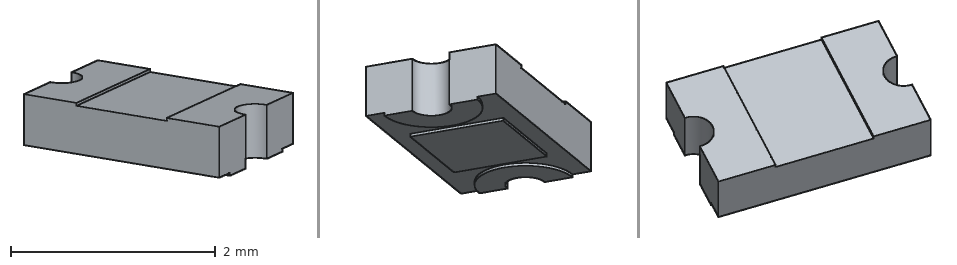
import cadquery as cq

length = 2.23
width = 1.40
height = 0.55

foil = 0.03

axis_inset = 0.0125
axis_x = length / 2 - axis_inset
notch_radius = 0.20
pad_radius = 0.50

electrode_length = 0.60

patch_start_x = -0.515
patch_end_x = 0.51
patch_width = 2 * pad_radius


def slab(start_x, end_x, size_y, bottom, top):
    """Rectangular block between two X positions, centred on Y."""
    size_x = end_x - start_x
    block = cq.Workplane("XY").box(size_x, size_y, top - bottom, centered=(False, True, False))
    return block.translate((start_x, 0, bottom))


def disc(radius, thickness, end):
    """Vertical cylinder on the axis of one end (-1 or +1), standing on Z = 0."""
    return cq.Workplane("XY").center(end * axis_x, 0).circle(radius).extrude(thickness)


def body():
    """Rectangular body with a shallow recess between the two top electrodes."""
    half_length = length / 2
    half_recess = half_length - electrode_length
    block = slab(-half_length, half_length, width, foil, height)
    return block.cut(slab(-half_recess, half_recess, width, height - foil, height))


def bottom_pad(end):
    """Round pad under one end, trimmed flush with the end face."""
    foil_layer = slab(-length / 2, length / 2, width, 0, foil)
    return disc(pad_radius, foil, end).intersect(foil_layer)


part = body().union(slab(patch_start_x, patch_end_x, patch_width, 0, foil))
for end in (-1, 1):
    part = part.union(bottom_pad(end))
    part = part.cut(disc(notch_radius, height, end))

result = part